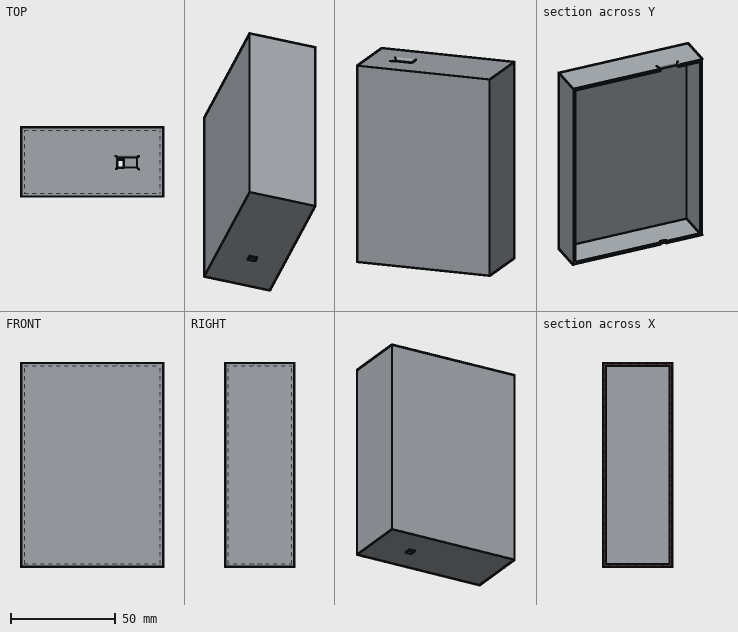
import cadquery as cq

LENGTH = 68.2
DEPTH = 33.3
HEIGHT = 98.0
WALL = 1.5

SOCKET_LENGTH = 9.5
SOCKET_WIDTH = 4.9
SOCKET_X = 16.85
SOCKET_Y = -0.35
MOUTH_RADIUS = 1.0

FLOOR_HOLE_RIGHT = 15.1
FLOOR_HOLE_BACK = 1.0


def make_shell():
    """Closed hollow box with walls of uniform thickness."""
    outside = cq.Workplane("XY").box(LENGTH, DEPTH, HEIGHT)
    inside = cq.Workplane("XY").box(LENGTH - 2 * WALL, DEPTH - 2 * WALL, HEIGHT - 2 * WALL)
    return outside.cut(inside)


def make_socket_cutter():
    """Rectangular prism through the top wall."""
    return (
        cq.Workplane("XY", origin=(SOCKET_X, SOCKET_Y, HEIGHT / 2 - WALL))
        .rect(SOCKET_LENGTH, SOCKET_WIDTH)
        .extrude(WALL)
    )


def round_socket_mouth(body):
    """Round the outer rim of the socket opening outwards onto the top face."""
    reach = 0.1
    rim = cq.selectors.BoxSelector(
        (SOCKET_X - SOCKET_LENGTH / 2 - reach, SOCKET_Y - SOCKET_WIDTH / 2 - reach, HEIGHT / 2 - reach),
        (SOCKET_X + SOCKET_LENGTH / 2 + reach, SOCKET_Y + SOCKET_WIDTH / 2 + reach, HEIGHT / 2 + reach),
    )
    return body.edges(rim).fillet(MOUTH_RADIUS)


def make_floor_hole_cutter():
    """Rectangular prism through the floor."""
    left = SOCKET_X - SOCKET_LENGTH / 2
    front = SOCKET_Y - SOCKET_WIDTH / 2
    return (
        cq.Workplane("XY", origin=(left, front, -HEIGHT / 2))
        .rect(FLOOR_HOLE_RIGHT - left, FLOOR_HOLE_BACK - front, centered=False)
        .extrude(WALL)
    )


shell = make_shell().cut(make_socket_cutter())
result = round_socket_mouth(shell).cut(make_floor_hole_cutter())